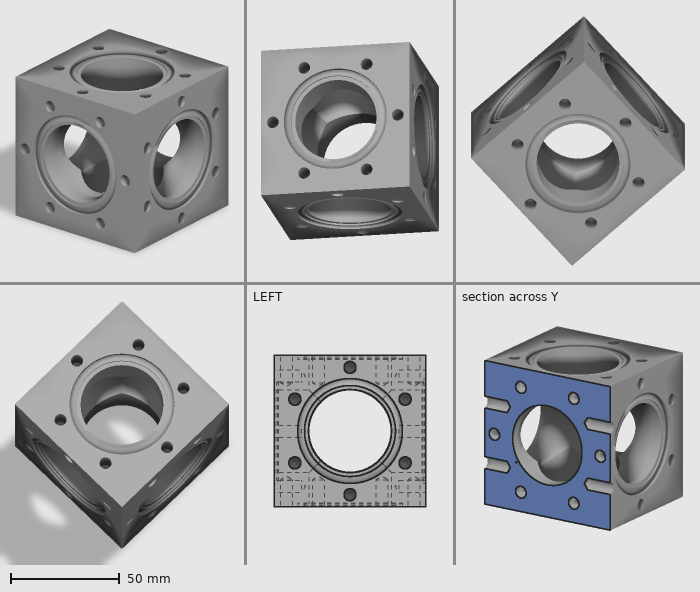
import cadquery as cq
import math

cube_side = 69.85
bore_diameter = 38.15

recess_diameter = 48.35
knife_diameter = 42.0
knife_depth = 0.7
knife_slope_angle = 20.0
recess_depth = knife_depth + (recess_diameter - knife_diameter) / 2 * math.tan(math.radians(knife_slope_angle))
land_depth = 1.5

bolt_count = 6
bolt_circle_diameter = 58.7
bolt_hole_diameter = 5.5
bolt_hole_depth = 12.6
drill_point_angle = 118.0

half_side = cube_side / 2


def seal_cutter():
    """Recess below the port face at Z = 0: straight outer wall, cone rising to the knife edge, inner land."""
    profile = [
        (0, 0),
        (recess_diameter / 2, 0),
        (recess_diameter / 2, -recess_depth),
        (knife_diameter / 2, -knife_depth),
        (knife_diameter / 2, -land_depth),
        (0, -land_depth),
    ]
    return cq.Workplane("XZ").polyline(profile).close().revolve(360, (0, 0), (0, 1))


def bolt_hole_cutter():
    """Drilled blind hole with a conical bottom, starting at Z = 0 and going down."""
    radius = bolt_hole_diameter / 2
    tip_length = radius / math.tan(math.radians(drill_point_angle / 2))
    profile = [
        (0, 0),
        (radius, 0),
        (radius, -bolt_hole_depth),
        (0, -bolt_hole_depth - tip_length),
    ]
    return cq.Workplane("XZ").polyline(profile).close().revolve(360, (0, 0), (0, 1))


def port_cutter():
    """Everything cut into one face, modelled on the top face with two bolt holes on the Y axis."""
    cutter = seal_cutter()
    first_hole = bolt_hole_cutter().translate((0, bolt_circle_diameter / 2, 0))
    for index in range(bolt_count):
        cutter = cutter.add(first_hole.rotate((0, 0, 0), (0, 0, 1), index * 360 / bolt_count))
    bore = cq.Workplane("XY").circle(bore_diameter / 2).extrude(-half_side)
    return cutter.add(bore).combine().translate((0, 0, half_side))


def turned(shape, axis, angle):
    """Rotate a shape about an axis through the cube centre."""
    return shape.rotate((0, 0, 0), axis, angle)


z_port = port_cutter()
x_port = turned(turned(z_port, (0, 1, 0), 90), (1, 0, 0), 90)
y_port = turned(turned(z_port, (0, 0, 1), 90), (1, 0, 0), 90)

result = cq.Workplane("XY").box(cube_side, cube_side, cube_side)
for port, flip_axis in ((x_port, (0, 0, 1)), (y_port, (0, 0, 1)), (z_port, (1, 0, 0))):
    result = result.cut(port).cut(turned(port, flip_axis, 180))